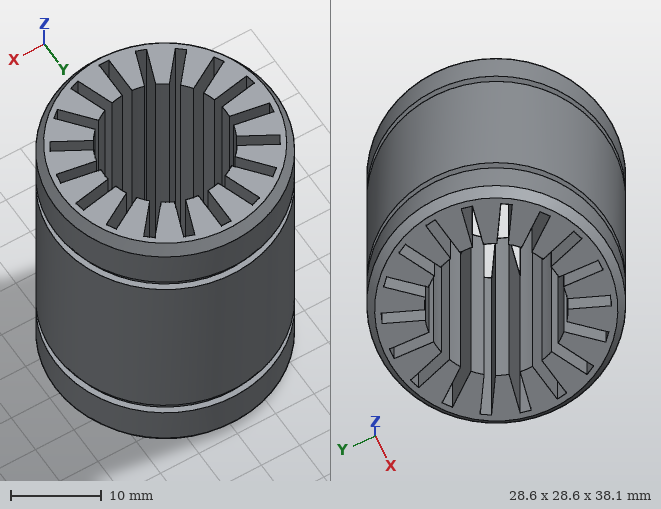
import cadquery as cq

length = 38.1
outer_diameter = 28.58
bore_diameter = 15.85
outer_radius = outer_diameter / 2

chamfer_axial = 1.4
chamfer_radial = 0.88

groove_width = 1.45
groove_depth = 0.75
groove_end_distance = 6.32

slot_count = 18
slot_width = 1.25
slot_outer_radius = 12.7


def make_body():
    """Revolve the chamfered sleeve about Z, centred on the origin."""
    inner_radius = bore_diameter / 2
    half_length = length / 2
    end_radius = outer_radius - chamfer_radial
    chamfer_z = half_length - chamfer_axial
    profile = [
        (inner_radius, -half_length),
        (end_radius, -half_length),
        (outer_radius, -chamfer_z),
        (outer_radius, chamfer_z),
        (end_radius, half_length),
        (inner_radius, half_length),
    ]
    return cq.Workplane("XZ").polyline(profile).close().revolve(360, (0, 0), (0, 1))


def make_groove(bottom_z):
    """Ring of material removed by one retaining ring groove."""
    return (
        cq.Workplane("XY", origin=(0, 0, bottom_z))
        .circle(outer_radius + groove_depth)
        .circle(outer_radius - groove_depth)
        .extrude(groove_width)
    )


def make_slot(angle):
    """Full-length radial slot, starting at the axis so it opens into the bore."""
    return (
        cq.Workplane("XY")
        .box(slot_outer_radius, slot_width, length, centered=(False, True, True))
        .rotate((0, 0, 0), (0, 0, 1), angle)
    )


result = make_body()

lower_groove_z = -length / 2 + groove_end_distance
upper_groove_z = length / 2 - groove_end_distance - groove_width
for groove_z in (lower_groove_z, upper_groove_z):
    result = result.cut(make_groove(groove_z))

for index in range(slot_count):
    result = result.cut(make_slot(90 + index * 360 / slot_count))